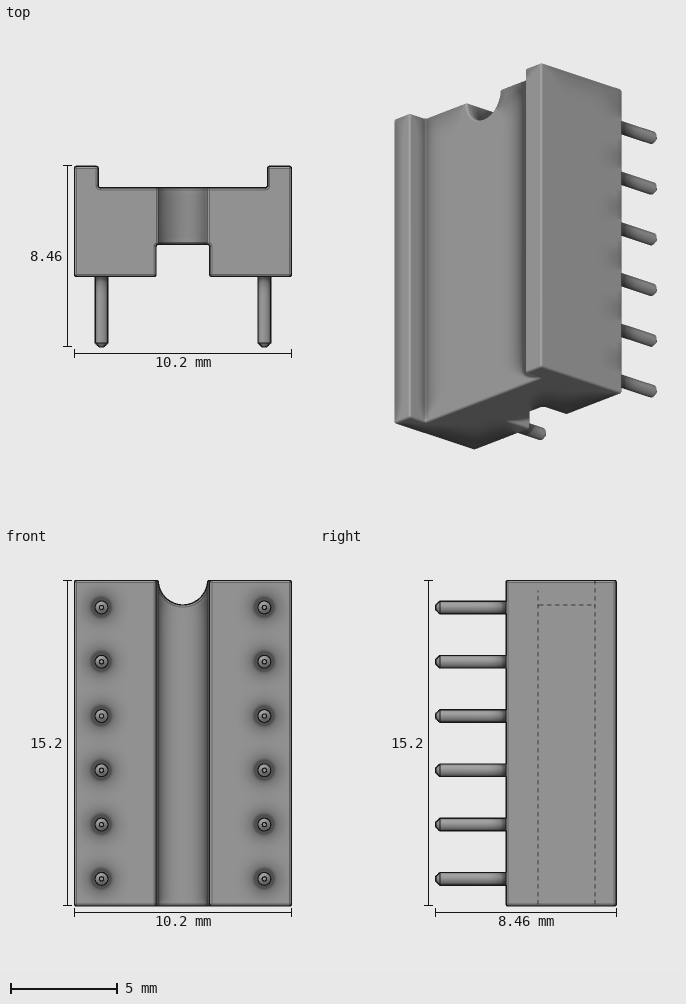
import cadquery as cq
PIN_PITCH = 2.54
PINS_PER_ROW = 6
ROW_SPACING = 3 * PIN_PITCH

PIN_DIAMETER = 0.6
PIN_LENGTH = 3.3
PIN_TIP_CHAMFER = 0.2

BODY_WIDTH = ROW_SPACING + PIN_PITCH
BODY_LENGTH = PINS_PER_ROW * PIN_PITCH
OVERALL_DEPTH = 8.46
BODY_DEPTH = OVERALL_DEPTH - PIN_LENGTH

RAIL_WIDTH = 1.12
RAIL_HEIGHT = 1.0
CHANNEL_WIDTH = 2.5
CHANNEL_DEPTH = 1.5
NOTCH_RADIUS = 1.15
EDGE_RADIUS = 0.1


def make_housing():
    """Profile constant along Z, notched at the top end, with all edges rounded."""
    half_width = BODY_WIDTH / 2
    rail_inner = half_width - RAIL_WIDTH
    half_channel = CHANNEL_WIDTH / 2
    right_half = [
        (half_channel, CHANNEL_DEPTH),
        (half_channel, 0),
        (half_width, 0),
        (half_width, BODY_DEPTH),
        (rail_inner, BODY_DEPTH),
        (rail_inner, BODY_DEPTH - RAIL_HEIGHT),
    ]
    left_half = [(-x, y) for x, y in reversed(right_half)]
    profile = cq.Workplane("XY").polyline(right_half + left_half).close()
    block = profile.extrude(BODY_LENGTH / 2, both=True)
    notch = (
        cq.Workplane("XZ")
        .center(0, BODY_LENGTH / 2)
        .circle(NOTCH_RADIUS)
        .extrude(BODY_DEPTH, both=True)
    )
    long_edges_rounded = block.cut(notch).edges("|Z").fillet(EDGE_RADIUS)
    return long_edges_rounded.edges("not |Z").fillet(EDGE_RADIUS)


def make_pin(x, z):
    """Round pin standing on the pin face, pointing to -Y, with a bevelled tip."""
    return (
        cq.Workplane("XZ")
        .center(x, z)
        .circle(PIN_DIAMETER / 2)
        .extrude(PIN_LENGTH)
        .faces("<Y")
        .chamfer(PIN_TIP_CHAMFER)
    )


result = make_housing()
for pin_x in (-ROW_SPACING / 2, ROW_SPACING / 2):
    for position in range(PINS_PER_ROW):
        pin_z = (position - (PINS_PER_ROW - 1) / 2) * PIN_PITCH
        result = result.union(make_pin(pin_x, pin_z))